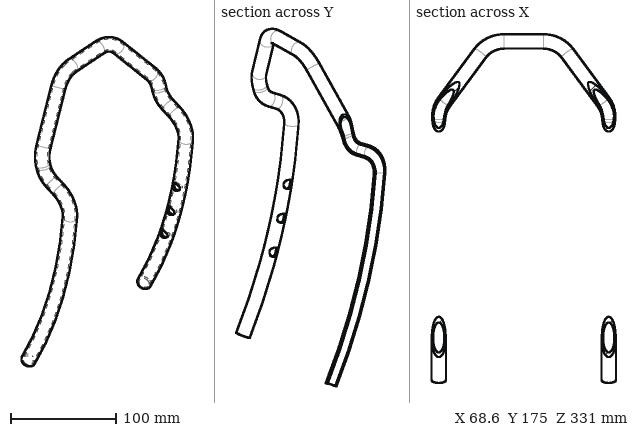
import cadquery as cq
import math

TUBE_DIAMETER = 14.0
BORE_DIAMETER = 10.0

TOTAL_WIDTH = 175.0
TOTAL_HEIGHT = 331.0

HOOP_LEAN = 15.0
SHOULDER_SLOPE = 54.5
TOP_CORNER_Y = 33.0
HOOP_BEND_RADIUS = 28.0
HOOP_END_STRAIGHT = 2.5

STEP_LEAN = 65.0
UPPER_STEP_RADIUS = 20.0
STEP_STRAIGHT = 9.5
LOWER_STEP_RADIUS = 25.8

LEG_TOP_LEAN = -4.5
LEG_BOTTOM_LEAN = -25.3
LEG_RADIUS = 582.5

HOLE_DIAMETER = 9.3
HOLE_COUNT = 3
LOWEST_HOLE_Z = 83.0
HOLE_PITCH = 33.8

TUBE_RADIUS = TUBE_DIAMETER / 2
LEG_Y = TOTAL_WIDTH / 2 - TUBE_RADIUS
TOP_BAR_CENTRE = cq.Vector(TUBE_RADIUS, 0, TOTAL_HEIGHT - TUBE_RADIUS)


def descending(lean):
    """Unit vector going down in the XZ plane, leaning towards +X by an angle in degrees."""
    angle = math.radians(lean)
    return cq.Vector(math.sin(angle), 0, -math.cos(angle))


def hoop_direction(angle):
    """Unit vector in the hoop plane, turned from +Y down the hoop by an angle in degrees."""
    turn = math.radians(angle)
    return cq.Vector(0, math.cos(turn), 0) + descending(HOOP_LEAN) * math.sin(turn)


def line(start, direction, length):
    return cq.Edge.makeLine(start, start + direction * length)


def bend(start, direction_at, start_angle, end_angle, radius):
    """Arc tangent to direction_at(angle) all along, from start_angle to end_angle."""
    turn = math.radians(abs(end_angle - start_angle))
    middle_angle = (start_angle + end_angle) / 2

    first_half = direction_at((start_angle + middle_angle) / 2) * (2 * radius * math.sin(turn / 4))
    whole = direction_at(middle_angle) * (2 * radius * math.sin(turn / 2))
    return cq.Edge.makeThreePointArc(start, start + first_half, start + whole)


def half_centreline():
    """Edges of the centreline from the middle of the top bar to the foot of the +Y leg."""
    slope = math.radians(SHOULDER_SLOPE)
    top_setback = HOOP_BEND_RADIUS * math.tan(slope / 2)
    side_setback = HOOP_BEND_RADIUS * math.tan((math.pi / 2 - slope) / 2)
    slope_length = (LEG_Y - TOP_CORNER_Y) / math.cos(slope) - top_setback - side_setback

    edges = [line(TOP_BAR_CENTRE, hoop_direction(0), TOP_CORNER_Y - top_setback)]

    def add_line(direction, length):
        edges.append(line(edges[-1].endPoint(), direction, length))

    def add_bend(direction_at, start_angle, end_angle, radius):
        edges.append(bend(edges[-1].endPoint(), direction_at, start_angle, end_angle, radius))

    add_bend(hoop_direction, 0, SHOULDER_SLOPE, HOOP_BEND_RADIUS)
    add_line(hoop_direction(SHOULDER_SLOPE), slope_length)
    add_bend(hoop_direction, SHOULDER_SLOPE, 90, HOOP_BEND_RADIUS)
    add_line(descending(HOOP_LEAN), HOOP_END_STRAIGHT)
    add_bend(descending, HOOP_LEAN, STEP_LEAN, UPPER_STEP_RADIUS)
    add_line(descending(STEP_LEAN), STEP_STRAIGHT)
    add_bend(descending, STEP_LEAN, LEG_TOP_LEAN, LOWER_STEP_RADIUS)
    add_bend(descending, LEG_TOP_LEAN, LEG_BOTTOM_LEAN, LEG_RADIUS)
    return edges


def rod(edges, diameter):
    """Solid round rod along the centreline, starting on the XZ plane."""
    path = cq.Workplane(cq.Wire.assembleEdges(edges))
    section = cq.Workplane("XZ", origin=TOP_BAR_CENTRE.toTuple()).circle(diameter / 2)
    return section.sweep(path)


def side_holes(leg):
    """Drills running towards -Y that pierce only the wall of the +Y leg facing the other leg."""
    foot = leg.endPoint()
    centre = foot + descending(LEG_BOTTOM_LEAN - 90) * LEG_RADIUS
    lowest_angle = math.asin((LOWEST_HOLE_Z - centre.z) / LEG_RADIUS)

    drills = cq.Workplane()
    for index in range(HOLE_COUNT):
        angle = lowest_angle + index * HOLE_PITCH / LEG_RADIUS
        x = centre.x + LEG_RADIUS * math.cos(angle)
        z = centre.z + LEG_RADIUS * math.sin(angle)
        drill = cq.Workplane("XZ", origin=(x, LEG_Y, z)).circle(HOLE_DIAMETER / 2).extrude(TUBE_DIAMETER)
        drills = drills.add(drill)
    return drills.combine()


centreline = half_centreline()
half_tube = rod(centreline, TUBE_DIAMETER).cut(rod(centreline, BORE_DIAMETER))
frame = half_tube.union(half_tube.mirror("XZ"))
result = frame.cut(side_holes(centreline[-1])).solids()